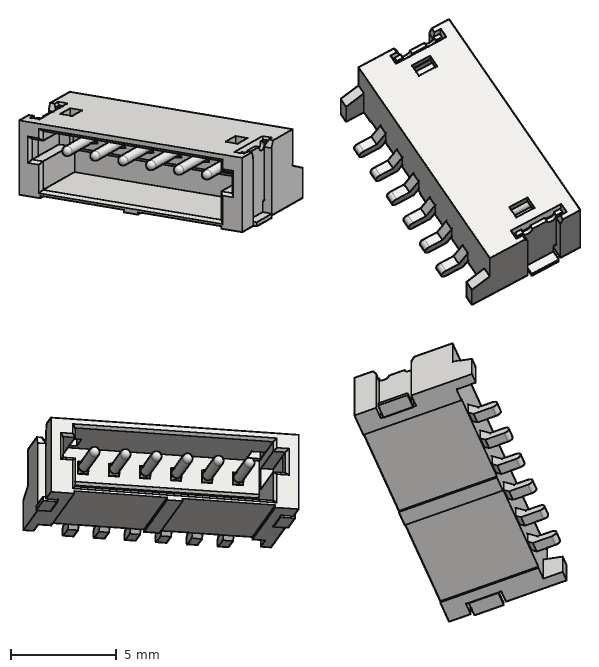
import cadquery as cq
import math

HOUSING_WIDTH = 12.0
HOUSING_DEPTH = 5.0
TOP_Z = 3.75
BOTTOM_Z = 0.05

LEG_WIDTH = 0.5
LEG_BACK_Y = 6.0
LEG_BACK_Z = 1.55
LEG_FRONT_Z = 1.94

RELIEF_HEIGHT = 0.12
END_FOOT_INNER_X = 4.87
CENTRE_FOOT_HALF_WIDTH = 0.38

CAVITY_WIDTH = 9.6
CAVITY_FLOOR_Z = 0.44
CAVITY_CEILING_Z = 3.36
UPPER_WALL_Y = 3.15
LOWER_WALL_Y = 3.26
STEP_TOP_Z = 1.7
STEP_BOTTOM_Z = 1.55
MOUTH_CHAMFER = 0.15

NOTCH_OUTER_X = 5.38
NOTCH_BOTTOM_Z = 1.85
NOTCH_TOP_Z = 2.88
NOTCH_DEPTH = 2.81

WINDOW_INNER_X = 4.13
WINDOW_LENGTH = 0.65
WINDOW_FRONT_Y = 1.8
WINDOW_BACK_Y = 2.8

TAB_THICKNESS = 0.21
TAB_OUTER_X = 5.6
TAB_CENTRE_Y = 2.0
TAB_WIDTH = 2.49
TAB_TOP_Z = 3.55
TAB_EAR_Z = 3.64
TAB_NOTCH_DIAMETER = 0.5
TAB_NOTCH_SPACING = 1.31
TAB_NECK_WIDTH = 1.5
TAB_NECK_TOP_Z = 0.76
TAB_NECK_FILLET = 0.12
TAB_FOOT_TIP_X = 6.1

SLOT_OPENING_WIDTH = 1.8
SLOT_CHAMFER = 0.15
SLOT_CHAMFER_DEPTH = 0.34

PIN_COUNT = 6
PIN_PITCH = 1.5
PIN_WIDTH = 0.5
PIN_FOOT_HEIGHT = 0.5
PIN_TIP_Y = 0.39
PIN_AXIS_Z = 2.39
PIN_TIP_DIAMETER = 0.49
PIN_TAPER_LENGTH = 0.21
PIN_ROOT_HEIGHT = 0.61
PIN_BACK_Y = 6.47
PIN_BEND_Y = 5.51
PIN_BEND_ANGLE = 50.0

CUT_MARGIN = 0.12
PICK_MARGIN = 0.01

SIDES = (-1, 1)


def box(x0, x1, y0, y1, z0, z1):
    """Block between two opposite corners."""
    return cq.Workplane("XY").box(x1 - x0, y1 - y0, z1 - z0, centered=False).translate((x0, y0, z0))


def mirrored(body, side):
    """The body itself for the +X side, its mirror image for the -X side."""
    return body if side > 0 else body.mirror("YZ")


def make_pin():
    """Bent strip that carries a round, dome-ended contact on a tapered root."""
    tip_r = PIN_TIP_DIAMETER / 2
    foot_r = PIN_FOOT_HEIGHT / 2
    slope = math.tan(math.radians(PIN_BEND_ANGLE))
    lower_bend_bottom_y = PIN_BEND_Y - PIN_FOOT_HEIGHT * math.tan(math.radians(PIN_BEND_ANGLE / 2))
    top_z = PIN_AXIS_Z + PIN_ROOT_HEIGHT / 2
    bottom_z = PIN_AXIS_Z - PIN_ROOT_HEIGHT / 2
    strip = (
        cq.Workplane("YZ")
        .moveTo(UPPER_WALL_Y, top_z)
        .lineTo(PIN_BEND_Y - (top_z - PIN_FOOT_HEIGHT) / slope, top_z)
        .lineTo(PIN_BEND_Y, PIN_FOOT_HEIGHT)
        .lineTo(PIN_BACK_Y - foot_r, PIN_FOOT_HEIGHT)
        .threePointArc((PIN_BACK_Y, foot_r), (PIN_BACK_Y - foot_r, 0))
        .lineTo(lower_bend_bottom_y, 0)
        .lineTo(lower_bend_bottom_y - bottom_z / slope, bottom_z)
        .lineTo(UPPER_WALL_Y, bottom_z)
        .close()
        .extrude(PIN_WIDTH / 2, both=True)
    )
    dome_y = PIN_TIP_Y + tip_r
    shaft = cq.Workplane("XZ", origin=(0, UPPER_WALL_Y, PIN_AXIS_Z)).circle(tip_r).extrude(UPPER_WALL_Y - dome_y)
    cone = cq.Solid.makeCone(
        math.hypot(PIN_WIDTH, PIN_ROOT_HEIGHT) / 2,
        tip_r,
        PIN_TAPER_LENGTH,
        pnt=cq.Vector(0, UPPER_WALL_Y, PIN_AXIS_Z),
        dir=cq.Vector(0, -1, 0),
    )
    root = box(-PIN_WIDTH / 2, PIN_WIDTH / 2, dome_y, UPPER_WALL_Y, bottom_z, top_z)
    shaft = shaft.union(root.intersect(cq.Workplane(cone)))
    tip = cq.Workplane("XZ").sphere(tip_r).translate((0, dome_y, PIN_AXIS_Z))
    return strip.union(shaft).union(tip)


def make_tab():
    """Upright plate with two round notches on top, a narrow neck and an outward foot."""
    inner_x = TAB_OUTER_X - TAB_THICKNESS
    half = TAB_WIDTH / 2
    neck = TAB_NECK_WIDTH / 2
    plate = box(inner_x, TAB_OUTER_X, TAB_CENTRE_Y - half, TAB_CENTRE_Y + half, TAB_NECK_TOP_Z, TAB_EAR_Z)
    leg = box(inner_x, TAB_OUTER_X, TAB_CENTRE_Y - neck, TAB_CENTRE_Y + neck, 0, TAB_NECK_TOP_Z)
    neck_corners = cq.selectors.BoxSelector(
        (inner_x - CUT_MARGIN, TAB_CENTRE_Y - neck - PICK_MARGIN, TAB_NECK_TOP_Z - PICK_MARGIN),
        (TAB_OUTER_X + CUT_MARGIN, TAB_CENTRE_Y + neck + PICK_MARGIN, TAB_NECK_TOP_Z + PICK_MARGIN),
    )
    tab = plate.union(leg).edges(neck_corners).edges("|X").fillet(TAB_NECK_FILLET)
    foot = box(inner_x, TAB_FOOT_TIP_X, TAB_CENTRE_Y - neck, TAB_CENTRE_Y + neck, 0, TAB_THICKNESS)
    notches = (
        cq.Workplane("YZ", origin=(inner_x, 0, 0))
        .pushPoints([(TAB_CENTRE_Y + s * TAB_NOTCH_SPACING / 2, TAB_TOP_Z) for s in SIDES])
        .circle(TAB_NOTCH_DIAMETER / 2)
        .extrude(TAB_THICKNESS)
    )
    crest = (TAB_NOTCH_SPACING + TAB_NOTCH_DIAMETER) / 2
    crest_relief = box(inner_x, TAB_OUTER_X, TAB_CENTRE_Y - crest, TAB_CENTRE_Y + crest, TAB_TOP_Z, TAB_EAR_Z)
    return tab.union(foot).cut(notches).cut(crest_relief)


def lead_in(x0, x1, y0, y1):
    """Cutter that widens a vertical slot evenly towards the top face."""
    return (
        cq.Workplane("XY", origin=(0, 0, TOP_Z - SLOT_CHAMFER_DEPTH))
        .center((x0 + x1) / 2, (y0 + y1) / 2)
        .rect(x1 - x0, y1 - y0)
        .workplane(offset=SLOT_CHAMFER_DEPTH)
        .rect(x1 - x0 + 2 * SLOT_CHAMFER, y1 - y0 + 2 * SLOT_CHAMFER)
        .loft(ruled=True)
    )


def make_slot():
    """T-shaped tab slot, open to the side and chamfered at the top."""
    inner_x = TAB_OUTER_X - TAB_THICKNESS
    outside_x = HOUSING_WIDTH / 2 + SLOT_CHAMFER + CUT_MARGIN
    front_y = TAB_CENTRE_Y - TAB_WIDTH / 2
    back_y = TAB_CENTRE_Y + TAB_WIDTH / 2
    opening_front_y = TAB_CENTRE_Y - SLOT_OPENING_WIDTH / 2
    opening_back_y = TAB_CENTRE_Y + SLOT_OPENING_WIDTH / 2
    slot = box(inner_x, TAB_OUTER_X, front_y, back_y, TAB_NECK_TOP_Z, TOP_Z)
    slot = slot.union(box(inner_x, outside_x, opening_front_y, opening_back_y, 0, TOP_Z))
    slot = slot.union(lead_in(inner_x, TAB_OUTER_X, front_y, back_y))
    return slot.union(lead_in(inner_x, outside_x, opening_front_y, opening_back_y))


def mouth(half_width, z0, z1):
    """Chamfer cutter around a front opening centred on x = 0."""
    return (
        cq.Workplane("XZ")
        .center(0, (z0 + z1) / 2)
        .rect(2 * half_width + 2 * MOUTH_CHAMFER, z1 - z0 + 2 * MOUTH_CHAMFER)
        .workplane(offset=-MOUTH_CHAMFER)
        .rect(2 * half_width, z1 - z0)
        .loft(ruled=True)
    )


def make_cavity():
    """Mating cavity with a stepped rear wall, side key notches and a chamfered mouth."""
    half = CAVITY_WIDTH / 2
    profile = [
        (0, CAVITY_FLOOR_Z),
        (LOWER_WALL_Y, CAVITY_FLOOR_Z),
        (LOWER_WALL_Y, STEP_BOTTOM_Z),
        (UPPER_WALL_Y, STEP_TOP_Z),
        (UPPER_WALL_Y, CAVITY_CEILING_Z),
        (0, CAVITY_CEILING_Z),
    ]
    cavity = cq.Workplane("YZ").polyline(profile).close().extrude(half, both=True)
    cavity = cavity.union(mouth(half, CAVITY_FLOOR_Z, CAVITY_CEILING_Z))
    cavity = cavity.union(box(-NOTCH_OUTER_X, NOTCH_OUTER_X, 0, NOTCH_DEPTH, NOTCH_BOTTOM_Z, NOTCH_TOP_Z))
    return cavity.union(mouth(NOTCH_OUTER_X, NOTCH_BOTTOM_Z, NOTCH_TOP_Z))


def make_leg():
    """Rear leg with a sloping top."""
    profile = [
        (HOUSING_DEPTH, BOTTOM_Z),
        (LEG_BACK_Y, BOTTOM_Z),
        (LEG_BACK_Y, LEG_BACK_Z),
        (HOUSING_DEPTH, LEG_FRONT_Z),
    ]
    return (
        cq.Workplane("YZ", origin=(HOUSING_WIDTH / 2 - LEG_WIDTH, 0, 0))
        .polyline(profile)
        .close()
        .extrude(LEG_WIDTH)
    )


def make_relief():
    """Clearance under the housing between the centre foot and an end foot."""
    return box(
        CENTRE_FOOT_HALF_WIDTH, END_FOOT_INNER_X, 0, HOUSING_DEPTH, BOTTOM_Z, BOTTOM_Z + RELIEF_HEIGHT
    )


def make_window():
    """Window from the top face into the cavity."""
    return box(
        WINDOW_INNER_X,
        WINDOW_INNER_X + WINDOW_LENGTH,
        WINDOW_FRONT_Y,
        WINDOW_BACK_Y,
        CAVITY_CEILING_Z - CUT_MARGIN,
        TOP_Z,
    )


def make_housing(pins):
    """Housing with a matching passage for every pin."""
    half = HOUSING_WIDTH / 2
    housing = box(-half, half, 0, HOUSING_DEPTH, BOTTOM_Z, TOP_Z).cut(make_cavity())
    for side in SIDES:
        housing = housing.union(mirrored(make_leg(), side))
        for cutter in (make_relief(), make_window(), make_slot()):
            housing = housing.cut(mirrored(cutter, side))
    for pin in pins:
        housing = housing.cut(pin)
    return housing


first_pin_x = -(PIN_COUNT - 1) / 2 * PIN_PITCH
pins = [make_pin().translate((first_pin_x + i * PIN_PITCH, 0, 0)) for i in range(PIN_COUNT)]
tabs = [mirrored(make_tab(), side) for side in SIDES]
housing = make_housing(pins)

result = cq.Compound.makeCompound(
    [housing.val(), *[pin.val() for pin in pins], *[tab.val() for tab in tabs]]
)